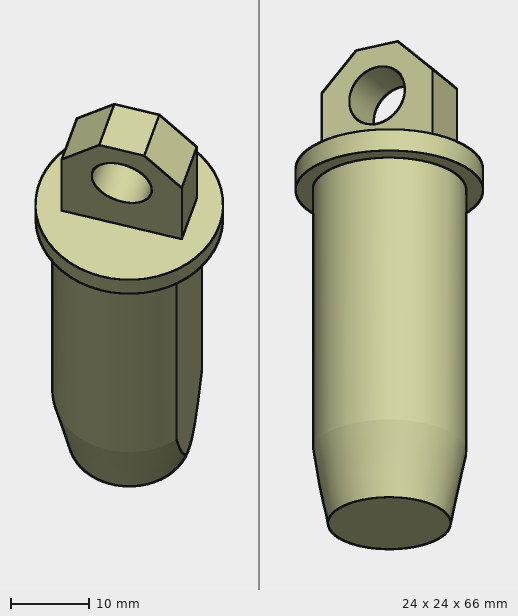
import cadquery as cq

shank_diameter = 19.7
tip_diameter = 15.7
taper_length = 10.0
shank_length = 47.0
flat_offset = 8.0

collar_diameter = 24.0
collar_thickness = 3.0

lug_width = 16.0
lug_thickness = 6.8
lug_height = 16.0
lug_chamfer = 5.0
hole_diameter = 8.0
hole_height = 9.0

collar_top = shank_length + collar_thickness


def make_shank():
    """Tapered round pin, cut flat on its +X side."""
    pin = (
        cq.Workplane("XZ")
        .lineTo(tip_diameter / 2, 0)
        .lineTo(shank_diameter / 2, taper_length)
        .lineTo(shank_diameter / 2, shank_length)
        .lineTo(0, shank_length)
        .close()
        .revolve(360, (0, 0, 0), (0, 1, 0))
    )
    beyond_flat = (
        cq.Workplane("XY")
        .box(shank_diameter, 2 * shank_diameter, shank_length, centered=(False, True, False))
        .translate((flat_offset, 0, 0))
    )
    return pin.cut(beyond_flat)


def make_collar():
    """Round flange between the shank and the lug."""
    return (
        cq.Workplane("XY")
        .workplane(offset=shank_length)
        .circle(collar_diameter / 2)
        .extrude(collar_thickness)
    )


def make_lug():
    """Upright plate with two sloped corners and a hole along Y."""
    shoulder = lug_height - lug_chamfer
    top_width = lug_width - 2 * lug_chamfer
    front_face = cq.Workplane("XZ", origin=(0, -lug_thickness / 2, collar_top))
    plate = (
        front_face
        .polyline([
            (-lug_width / 2, 0),
            (lug_width / 2, 0),
            (lug_width / 2, shoulder),
            (top_width / 2, lug_height),
            (-top_width / 2, lug_height),
            (-lug_width / 2, shoulder),
        ])
        .close()
        .extrude(-lug_thickness)
    )
    hole = (
        front_face
        .center(0, hole_height)
        .circle(hole_diameter / 2)
        .extrude(-lug_thickness)
    )
    return plate.cut(hole)


result = make_shank().union(make_collar()).union(make_lug())